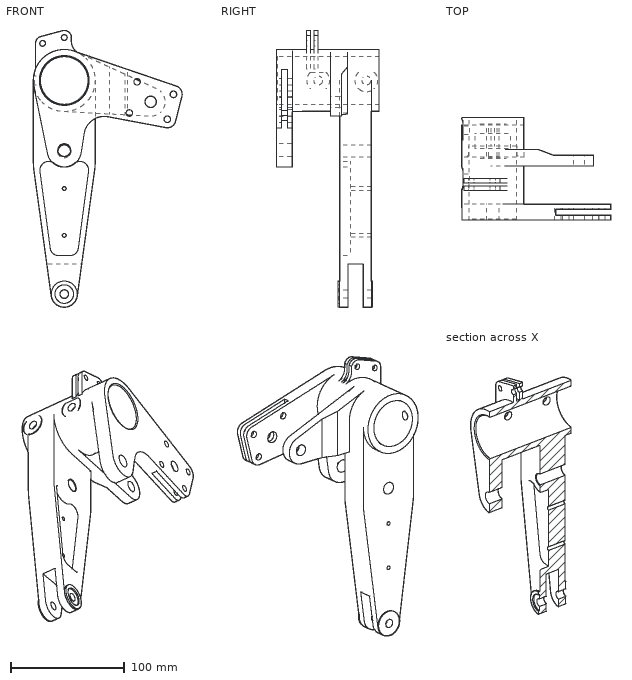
import cadquery as cq
import math


CUT_REACH = 146.7
SAME_POINT = 0.002

TUBE_RADIUS = 27.5
TUBE_LENGTH = 90.7
TUBE_CIRCLE = (0, 0, TUBE_RADIUS)
BORE_RADIUS = 21.0
BORE_CHAMFER = 1.0


BRACKET_THICKNESS = 14.2
BRACKET_PIVOT_Z = -61.4
BRACKET_LOBE = (0, BRACKET_PIVOT_Z, 15.2)
BRACKET_INSIDE_ROUND = (35.2, -49.6, -17.8)
BRACKET_LOWER_CORNER = (91.0, -34.2, 7.5)
BRACKET_UPPER_CORNER = (96.3, -12.2, 7.8)
BRACKET_HOLE_DIAMETER = 5.6
BRACKET_INNER_HOLES = [(64.3, -1.2), (57.5, -28.5)]
BRACKET_SLOT_WIDTH = 5.1
BRACKET_SLOT_START_X = 55.7
BRACKET_PIVOT_DIAMETER = 11.2

REAR_ARM_FRONT_Y = 47.7
REAR_ARM_BACK_Y = 62.5
REAR_ARM_TIP_THICKNESS = 9.8
REAR_ARM_TAPER_START_X = 40.0
REAR_ARM_TAPER_END_X = 53.5
REAR_ARM_TIP = (76.3, -18.8, 12.7)
CROSS_HOLE_DIAMETER = 9.8

LUG_COUNT = 2
LUG_FRONT_Y = 26.5
LUG_THICKNESS = 4.0
LUG_PITCH = 6.5
LUG_CORNERS = [(0, 38.0, 6.4), (-19.0, 32.8, 6.4)]
LUG_HOLE_DIAMETER = 5.0
LUG_FOOT_ROUND = 11.7

ARM_FRONT_Y = 55.7
ARM_BACK_Y = 83.8
ARM_TIP = (0, -188.5, 11.7)
ARM_TAPER_TOP_Z = -72.4
ARM_TAPER_ROUND = 49
ARM_PIVOT_Z = -62.3
ARM_PIVOT_DIAMETER = 10.8
ARM_PIVOT_CHAMFER = 0.5
TIP_SLOT_FRONT_Y = 63.3
TIP_SLOT_BACK_Y = 76.5
TIP_SLOT_TOP_Z = -162.0
TIP_BOSS_RADIUS = 11.5
TIP_BOSS_FRONT_HEIGHT = 1.5
TIP_BOSS_BACK_HEIGHT = 1.0
TIP_RECESS_DIAMETER = 16.5
TIP_RECESS_DEPTH = 1.2
TIP_HOLE_DIAMETER = 7.3

POCKET_DEPTH = 9.8
POCKET_RIM_ROUND = 2.5
POCKET_UPPER_CORNER = (13.7, -79.2, 7.8)
POCKET_LOWER_CORNER = (5.1, -147.2, 7.3)
POCKET_HOLE_DIAMETER = 3.2
POCKET_HOLES = [(0, -95.3), (0, -136.6)]

SPOT_FACE_Y = [37.0, 79.5]
SPOT_FACE_DEPTH = 1.0
SPOT_FACE_DIAMETER = 20.0
SPOT_HOLE_DIAMETER = 7.8


def point_on(circle, angle):
    x, z, radius = circle
    return (x + radius * math.cos(angle), z + radius * math.sin(angle))


def belt(sketch_plane, circles):
    """Closed outline running counter-clockwise round the circles along their common tangents.

    A circle of negative radius is an inside round, and one of zero radius is a sharp corner.
    """
    normals = []
    for first, second in zip(circles, circles[1:] + circles[:1]):
        dx = second[0] - first[0]
        dz = second[1] - first[1]
        ratio = (first[2] - second[2]) / math.hypot(dx, dz)
        normals.append(math.atan2(dz, dx) - math.acos(max(-1.0, min(1.0, ratio))))

    outline = sketch_plane.moveTo(*point_on(circles[0], normals[-1]))
    end = None
    for index, circle in enumerate(circles):
        arrive = normals[index - 1]
        turn = (normals[index] - arrive) % (2 * math.pi)
        if circle[2] < 0:
            turn -= 2 * math.pi
        start = point_on(circle, arrive)
        if end and math.dist(start, end) > SAME_POINT:
            outline = outline.lineTo(*start)
        end = point_on(circle, arrive + turn)
        if circle[2] != 0:
            outline = outline.threePointArc(point_on(circle, arrive + turn / 2), end)
    return outline.close()


def plane_at(y):
    return cq.Workplane("XZ", origin=(0, y, 0))


def belt_plate(circles, front_y, back_y):
    return belt(plane_at(front_y), circles).extrude(front_y - back_y)


def rod_along_y(x, z, diameter, front_y, back_y):
    return plane_at(front_y).center(x, z).circle(diameter / 2).extrude(front_y - back_y)


def box_between(low, high):
    size = [end - start for start, end in zip(low, high)]
    return cq.Workplane("XY").box(*size, centered=False).translate(low)


def front_bracket():
    corners = [
        TUBE_CIRCLE,
        BRACKET_LOBE,
        BRACKET_INSIDE_ROUND,
        BRACKET_LOWER_CORNER,
        BRACKET_UPPER_CORNER,
    ]
    plate = belt_plate(corners, 0, BRACKET_THICKNESS)
    slot_front = (BRACKET_THICKNESS - BRACKET_SLOT_WIDTH) / 2
    slot = box_between(
        (BRACKET_SLOT_START_X, slot_front, -CUT_REACH),
        (CUT_REACH, slot_front + BRACKET_SLOT_WIDTH, CUT_REACH),
    )
    plate = plate.cut(slot)
    corner_holes = [BRACKET_LOWER_CORNER[:2], BRACKET_UPPER_CORNER[:2]]
    for x, z in BRACKET_INNER_HOLES + corner_holes:
        plate = plate.cut(rod_along_y(x, z, BRACKET_HOLE_DIAMETER, 0, BRACKET_THICKNESS))
    cross_x, cross_z, _ = REAR_ARM_TIP
    plate = plate.cut(rod_along_y(cross_x, cross_z, CROSS_HOLE_DIAMETER, 0, BRACKET_THICKNESS))
    return plate.cut(rod_along_y(0, BRACKET_PIVOT_Z, BRACKET_PIVOT_DIAMETER, 0, BRACKET_THICKNESS))


def rear_arm():
    arm = belt_plate([TUBE_CIRCLE, REAR_ARM_TIP], REAR_ARM_FRONT_Y, REAR_ARM_BACK_Y)
    tip_back_y = REAR_ARM_FRONT_Y + REAR_ARM_TIP_THICKNESS
    relief = (
        cq.Workplane("XY", origin=(0, 0, -CUT_REACH))
        .moveTo(REAR_ARM_TAPER_START_X, REAR_ARM_BACK_Y)
        .lineTo(REAR_ARM_TAPER_END_X, tip_back_y)
        .lineTo(CUT_REACH, tip_back_y)
        .lineTo(CUT_REACH, REAR_ARM_BACK_Y)
        .close()
        .extrude(2 * CUT_REACH)
    )
    x, z, _ = REAR_ARM_TIP
    hole = rod_along_y(x, z, CROSS_HOLE_DIAMETER, REAR_ARM_FRONT_Y, REAR_ARM_BACK_Y)
    return arm.cut(relief).cut(hole)


def lug(front_y):
    back_y = front_y + LUG_THICKNESS
    top_x, _, corner_radius = LUG_CORNERS[0]
    left_edge = LUG_CORNERS[1][0] - corner_radius
    plate = belt_plate([(0, 0, -left_edge)] + LUG_CORNERS, front_y, back_y)

    right_edge = top_x + corner_radius
    round_x = right_edge + LUG_FOOT_ROUND
    round_z = math.sqrt((TUBE_RADIUS + LUG_FOOT_ROUND) ** 2 - round_x**2)
    foot_round = (round_x, round_z, LUG_FOOT_ROUND)
    foot_angle = math.atan2(-round_z, -round_x) % (2 * math.pi)
    foot = (
        plane_at(front_y)
        .lineTo(*point_on(foot_round, foot_angle))
        .threePointArc(point_on(foot_round, (foot_angle + math.pi) / 2), (right_edge, round_z))
        .lineTo(top_x, round_z)
        .close()
        .extrude(-LUG_THICKNESS)
    )
    right_side = box_between((right_edge, front_y, -CUT_REACH), (CUT_REACH, back_y, CUT_REACH))
    plate = plate.cut(right_side).union(foot)
    for x, z, _ in LUG_CORNERS:
        plate = plate.cut(rod_along_y(x, z, LUG_HOLE_DIAMETER, front_y, back_y))
    return plate


def pocket():
    upper_x, upper_z, upper_radius = POCKET_UPPER_CORNER
    lower_x, lower_z, lower_radius = POCKET_LOWER_CORNER
    pivot_round = math.hypot(upper_x, upper_z - ARM_PIVOT_Z) - upper_radius
    corners = [
        (-upper_x, upper_z, upper_radius),
        (-lower_x, lower_z, lower_radius),
        POCKET_LOWER_CORNER,
        POCKET_UPPER_CORNER,
        (0, ARM_PIVOT_Z, -pivot_round),
    ]
    return belt_plate(corners, ARM_FRONT_Y, ARM_FRONT_Y + POCKET_DEPTH)


def arm_blank():
    round_x = TUBE_RADIUS - ARM_TAPER_ROUND
    corners = [
        ARM_TIP,
        (round_x, ARM_TAPER_TOP_Z, ARM_TAPER_ROUND),
        (TUBE_RADIUS, 0, 0),
        (-TUBE_RADIUS, 0, 0),
        (-round_x, ARM_TAPER_TOP_Z, ARM_TAPER_ROUND),
    ]
    return belt_plate(corners, ARM_FRONT_Y, ARM_BACK_Y)


def add_arm_pocket(arm):
    arm = arm.cut(pocket())
    rim = arm.faces("<Y").val().innerWires()[0]
    arm = arm.newObject(rim.Edges()).fillet(POCKET_RIM_ROUND)
    for x, z in POCKET_HOLES:
        arm = arm.cut(rod_along_y(x, z, POCKET_HOLE_DIAMETER, ARM_FRONT_Y, ARM_BACK_Y))
    return arm


def add_forked_tip(arm):
    tip_x, tip_z, tip_radius = ARM_TIP
    boss_front = ARM_FRONT_Y - TIP_BOSS_FRONT_HEIGHT
    boss_back = ARM_BACK_Y + TIP_BOSS_BACK_HEIGHT
    arm = arm.union(rod_along_y(tip_x, tip_z, 2 * TIP_BOSS_RADIUS, boss_front, boss_back))
    arm = arm.cut(
        box_between(
            (-TUBE_RADIUS, TIP_SLOT_FRONT_Y, tip_z - 2 * tip_radius),
            (TUBE_RADIUS, TIP_SLOT_BACK_Y, TIP_SLOT_TOP_Z),
        )
    )
    arm = arm.cut(
        rod_along_y(tip_x, tip_z, TIP_RECESS_DIAMETER, boss_front, boss_front + TIP_RECESS_DEPTH)
    )
    return arm.cut(rod_along_y(tip_x, tip_z, TIP_HOLE_DIAMETER, boss_front, boss_back))


def lower_arm():
    arm = add_forked_tip(add_arm_pocket(arm_blank()))
    arm = arm.cut(rod_along_y(0, ARM_PIVOT_Z, ARM_PIVOT_DIAMETER, ARM_FRONT_Y, ARM_BACK_Y))
    pivot_edge = cq.selectors.NearestToPointSelector((0, ARM_FRONT_Y, ARM_PIVOT_Z))
    return arm.edges("%CIRCLE").edges(pivot_edge).chamfer(ARM_PIVOT_CHAMFER)


body = rod_along_y(0, 0, 2 * TUBE_RADIUS, 0, TUBE_LENGTH)
body = body.union(front_bracket()).union(rear_arm()).union(lower_arm())
for index in range(LUG_COUNT):
    body = body.union(lug(LUG_FRONT_Y + index * LUG_PITCH))
body = body.cut(rod_along_y(0, 0, 2 * BORE_RADIUS, 0, TUBE_LENGTH))
bore_front_edge = cq.selectors.NearestToPointSelector((0, 0, 0))
body = body.edges(bore_front_edge).chamfer(BORE_CHAMFER)

for y in SPOT_FACE_Y:
    spot_plane = cq.Workplane("YZ", origin=(SPOT_FACE_DEPTH - TUBE_RADIUS, y, 0))
    body = body.cut(spot_plane.circle(SPOT_FACE_DIAMETER / 2).extrude(-TUBE_RADIUS))
    body = body.cut(spot_plane.circle(SPOT_HOLE_DIAMETER / 2).extrude(TUBE_RADIUS))

result = body